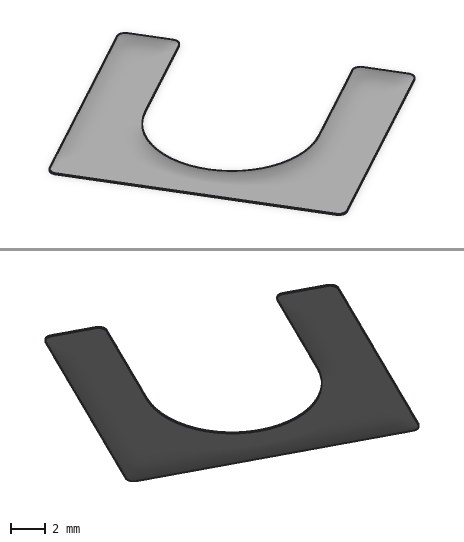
import cadquery as cq

width = 18.0
depth = 16.0
thickness = 0.1
corner_radius = 0.5

slot_width = 10.5
web = 2.75

slot_radius = slot_width / 2
slot_center_y = -depth / 2 + web + slot_radius


def u_plate():
    """Flat U-shaped plate, centred on the origin."""
    half_width = width / 2
    half_depth = depth / 2
    return (
        cq.Workplane("XY", origin=(0, 0, -thickness / 2))
        .moveTo(-half_width, -half_depth)
        .lineTo(half_width, -half_depth)
        .lineTo(half_width, half_depth)
        .lineTo(slot_radius, half_depth)
        .lineTo(slot_radius, slot_center_y)
        .threePointArc((0, slot_center_y - slot_radius), (-slot_radius, slot_center_y))
        .lineTo(-slot_radius, half_depth)
        .lineTo(-half_width, half_depth)
        .close()
        .extrude(thickness)
    )


result = u_plate().faces("<Y or >Y").edges("|Z").fillet(corner_radius)